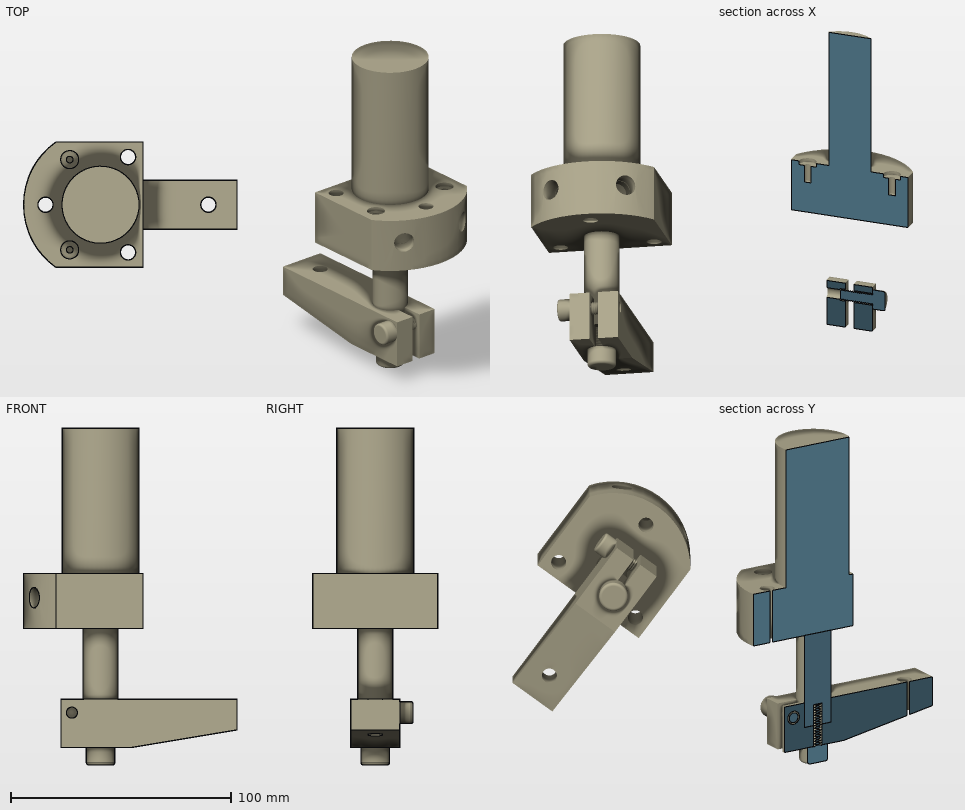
import cadquery as cq
import math


BARREL_DIA = 35.0
BARREL_HEIGHT = 66.0
FLANGE_HEIGHT = 25.0
FLANGE_RADIUS = 35.0
FLANGE_WIDTH = 57.0
FLANGE_FRONT_X = 19.3

MOUNT_HOLE_COUNT = 3
MOUNT_HOLE_DIA = 6.8
MOUNT_CIRCLE_RADIUS = 25.0

TOP_PORT_X = -14.0
TOP_PORT_Y = 20.5
TOP_PORT_SEAL_DIA = 8.2
TOP_PORT_SEAL_DEPTH = 1.8
TOP_PORT_DIA = 3.0
TOP_PORT_DEPTH = 10.0

SIDE_PORT_ANGLE = 30.0
SIDE_PORT_Z = 14.0
SIDE_PORT_DIA = 9.2
SIDE_PORT_CORE_DIA = 8.8
SIDE_PORT_STEP_RADIUS = 26.7
SIDE_PORT_FLOOR_RADIUS = 22.1
DRILL_POINT_ANGLE = 118.0

ARM_REAR_X = -18.0
ARM_LENGTH = 80.0
ARM_WIDTH = 22.4
ARM_HEIGHT = 22.0
ARM_TIP_HEIGHT = 14.0
ARM_TAPER_START_X = 14.0
ARM_TIP_HOLE_X = 49.0
ARM_TIP_HOLE_DIA = 6.8
ARM_SLOT_WIDTH = 4.0

ROD_DIA = 16.0
ROD_EXPOSED_LENGTH = 32.1
ROD_SEAT_DEPTH = 12.0

END_SCREW_DIA = 8.0
END_SCREW_PITCH = 1.25
END_SCREW_LENGTH = 20.0
END_SCREW_HEAD_DIA = 13.0
END_SCREW_HEAD_FILLET = 1.3
CLAMP_SCREW_DIA = 6.0
CLAMP_SCREW_PITCH = 1.0
CLAMP_SCREW_LENGTH = 16.0
CLAMP_SCREW_HEAD_DIA = 10.0
CLAMP_SCREW_HEAD_FILLET = 1.0
CLAMP_SCREW_X = -13.0
CLAMP_SCREW_DROP = 6.1
CLAMP_TAP_DIA = CLAMP_SCREW_DIA - CLAMP_SCREW_PITCH
THREAD_DEPTH_PER_PITCH = 0.6

ARM_TOP_Z = -ROD_EXPOSED_LENGTH
ARM_BOTTOM_Z = ARM_TOP_Z - ARM_HEIGHT
ROD_BOTTOM_Z = ARM_TOP_Z - ROD_SEAT_DEPTH
CLAMP_SCREW_Z = ARM_TOP_Z - CLAMP_SCREW_DROP
ARM_SIDE_Y = ARM_WIDTH / 2


def cylinder(diameter, start, end):
    """Solid round bar from one point to another."""
    axis = cq.Vector(*end) - cq.Vector(*start)
    return cq.Workplane(cq.Solid.makeCylinder(diameter / 2, axis.Length, cq.Vector(*start), axis))


def make_flange():
    half_width = FLANGE_WIDTH / 2
    arc_end_x = -math.sqrt(FLANGE_RADIUS**2 - half_width**2)
    return (
        cq.Workplane("XY")
        .moveTo(arc_end_x, half_width)
        .lineTo(FLANGE_FRONT_X, half_width)
        .lineTo(FLANGE_FRONT_X, -half_width)
        .lineTo(arc_end_x, -half_width)
        .threePointArc((-FLANGE_RADIUS, 0), (arc_end_x, half_width))
        .close()
        .extrude(FLANGE_HEIGHT)
    )


def make_side_port(side):
    """Stepped radial hole with a drill-point floor; side is +1 or -1 along Y."""
    radius = SIDE_PORT_DIA / 2
    core_radius = SIDE_PORT_CORE_DIA / 2
    point_depth = core_radius / math.tan(math.radians(DRILL_POINT_ANGLE / 2))
    drill = (
        cq.Workplane("XZ")
        .moveTo(-FLANGE_RADIUS, 0)
        .lineTo(-FLANGE_RADIUS, radius)
        .lineTo(-SIDE_PORT_STEP_RADIUS, radius)
        .lineTo(-SIDE_PORT_STEP_RADIUS, core_radius)
        .lineTo(-SIDE_PORT_FLOOR_RADIUS, core_radius)
        .lineTo(-SIDE_PORT_FLOOR_RADIUS + point_depth, 0)
        .close()
        .revolve(360, (0, 0), (1, 0))
    )
    return drill.rotate((0, 0, 0), (0, 0, 1), -side * SIDE_PORT_ANGLE).translate((0, 0, SIDE_PORT_Z))


def make_housing():
    flange_top = cq.Workplane("XY", origin=(0, 0, FLANGE_HEIGHT))
    barrel = flange_top.circle(BARREL_DIA / 2).extrude(BARREL_HEIGHT)
    mount_holes = (
        cq.Workplane("XY")
        .polarArray(MOUNT_CIRCLE_RADIUS, 180, 360, MOUNT_HOLE_COUNT)
        .circle(MOUNT_HOLE_DIA / 2)
        .extrude(FLANGE_HEIGHT)
    )
    housing = make_flange().union(barrel).cut(mount_holes)
    for side in (1, -1):
        top_port = flange_top.center(TOP_PORT_X, side * TOP_PORT_Y)
        housing = (
            housing.cut(top_port.circle(TOP_PORT_SEAL_DIA / 2).extrude(-TOP_PORT_SEAL_DEPTH))
            .cut(top_port.circle(TOP_PORT_DIA / 2).extrude(-TOP_PORT_DEPTH))
            .cut(make_side_port(side))
        )
    return housing


def make_rod():
    rod = cylinder(ROD_DIA, (0, 0, ROD_BOTTOM_Z), (0, 0, 0))
    screw_end_z = ARM_BOTTOM_Z + END_SCREW_LENGTH
    screw_hole = cylinder(END_SCREW_DIA, (0, 0, ROD_BOTTOM_Z), (0, 0, screw_end_z))
    return rod.cut(screw_hole)


def make_arm():
    arm_tip_x = ARM_REAR_X + ARM_LENGTH
    arm = (
        cq.Workplane("XZ")
        .moveTo(ARM_REAR_X, ARM_TOP_Z)
        .lineTo(arm_tip_x, ARM_TOP_Z)
        .lineTo(arm_tip_x, ARM_TOP_Z - ARM_TIP_HEIGHT)
        .lineTo(ARM_TAPER_START_X, ARM_BOTTOM_Z)
        .lineTo(ARM_REAR_X, ARM_BOTTOM_Z)
        .close()
        .extrude(ARM_WIDTH / 2, both=True)
    )
    slot = (
        cq.Workplane("XY", origin=(0, 0, ARM_BOTTOM_Z))
        .moveTo(ARM_REAR_X / 2, 0)
        .rect(-ARM_REAR_X, ARM_SLOT_WIDTH)
        .extrude(ARM_HEIGHT)
    )
    rod_bore = cylinder(ROD_DIA, (0, 0, ROD_BOTTOM_Z), (0, 0, ARM_TOP_Z))
    end_screw_hole = cylinder(END_SCREW_DIA, (0, 0, ARM_BOTTOM_Z), (0, 0, ROD_BOTTOM_Z))
    tip_hole = cylinder(ARM_TIP_HOLE_DIA, (ARM_TIP_HOLE_X, 0, ARM_BOTTOM_Z), (ARM_TIP_HOLE_X, 0, ARM_TOP_Z))
    head_side = (CLAMP_SCREW_X, ARM_SIDE_Y, CLAMP_SCREW_Z)
    screw_tip = (CLAMP_SCREW_X, ARM_SIDE_Y - CLAMP_SCREW_LENGTH, CLAMP_SCREW_Z)
    far_side = (CLAMP_SCREW_X, -ARM_SIDE_Y, CLAMP_SCREW_Z)
    clamp_screw_hole = cylinder(CLAMP_SCREW_DIA, head_side, screw_tip)
    clamp_tap_hole = cylinder(CLAMP_TAP_DIA, head_side, far_side)
    for cutter in (slot, rod_bore, end_screw_hole, tip_hole, clamp_screw_hole, clamp_tap_hole):
        arm = arm.cut(cutter)
    return arm


def make_cap_screw(diameter, pitch, length, head_diameter, head_fillet):
    """Screw with its shank along +Z from Z = 0 and its head, as tall as the diameter, below."""
    crest = diameter / 2
    root = crest - THREAD_DEPTH_PER_PITCH * pitch
    profile = cq.Workplane("XZ").moveTo(0, 0).lineTo(crest, 0)
    for turn in range(math.floor(length / pitch)):
        profile = profile.lineTo(root, (turn + 0.5) * pitch).lineTo(crest, (turn + 1) * pitch)
    shank = profile.lineTo(0, length).close().revolve(360, (0, 0), (0, 1))
    head = cylinder(head_diameter, (0, 0, -diameter), (0, 0, 0)).faces("<Z").edges().fillet(head_fillet)
    return head.union(shank)


housing = make_housing()
rod = make_rod()
arm = make_arm()
end_screw = make_cap_screw(
    END_SCREW_DIA, END_SCREW_PITCH, END_SCREW_LENGTH, END_SCREW_HEAD_DIA, END_SCREW_HEAD_FILLET
).translate((0, 0, ARM_BOTTOM_Z))
clamp_screw = (
    make_cap_screw(
        CLAMP_SCREW_DIA, CLAMP_SCREW_PITCH, CLAMP_SCREW_LENGTH, CLAMP_SCREW_HEAD_DIA, CLAMP_SCREW_HEAD_FILLET
    )
    .rotate((0, 0, 0), (1, 0, 0), 90)
    .translate((CLAMP_SCREW_X, ARM_SIDE_Y, CLAMP_SCREW_Z))
)

result = cq.Compound.makeCompound(
    [housing.val(), rod.val(), arm.val(), end_screw.val(), clamp_screw.val()]
)